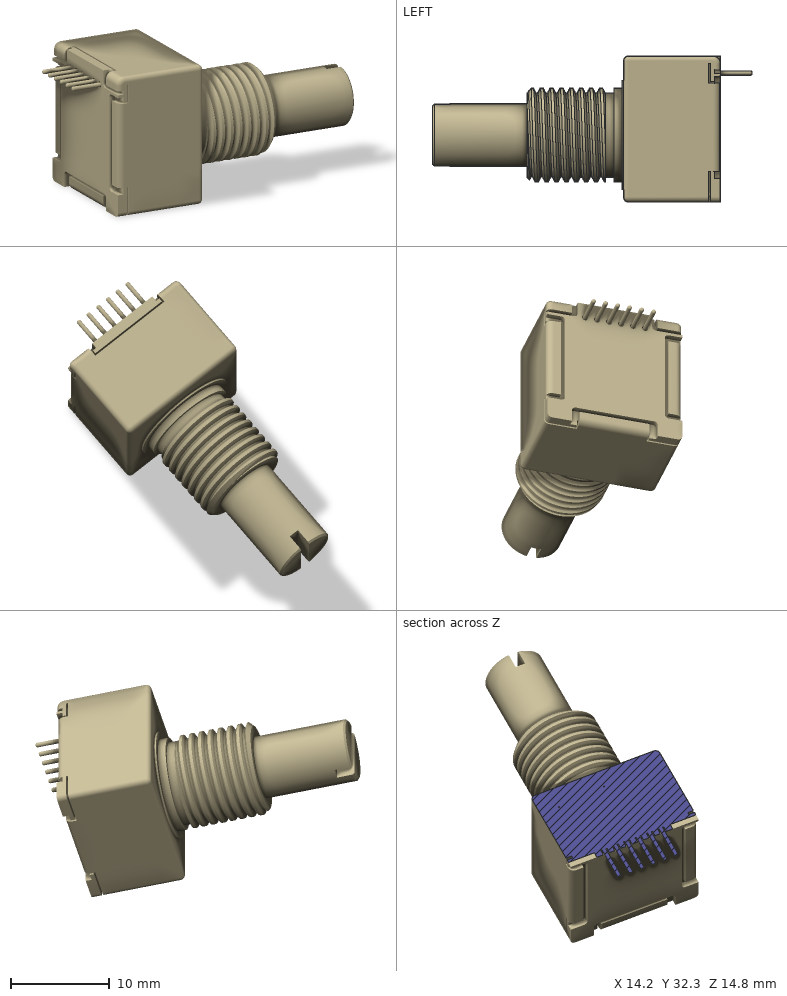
import cadquery as cq


CASE_WIDTH = 14.25
CASE_HEIGHT = 14.76
CASE_TOP = 7.99
CASE_BOTTOM = CASE_TOP - CASE_HEIGHT
CASE_DEPTH = 9.8
CASE_FILLET = 0.5
HALF_WIDTH = CASE_WIDTH / 2

SHEET = 0.62
COVER_LENGTH = 8.58
SEAM = 0.2
POCKET_DEPTH = SHEET
POCKET_CORNER = 0.4
TAB_RECESS = 0.08
TAB_BEND = 0.65
TAB_GAP = 0.17

SIDE_TAB_TOP = 5.25
SIDE_TAB_BOTTOM = -3.7
SIDE_TAB_REACH = 1.45
SIDE_POCKET_TOP = 5.92
SIDE_POCKET_BOTTOM = -4.37
SIDE_POCKET_REACH = 1.85
BOTTOM_TAB_HALF = 3.68
BOTTOM_TAB_REACH = 1.35
BOTTOM_POCKET_HALF = 4.54
BOTTOM_POCKET_REACH = 1.72
TOP_TAB_INNER_X = 4.52
TOP_TAB_REACH = 1.39
TOP_POCKET_INNER_X = 3.93
TOP_POCKET_REACH = 1.76
TOP_TAB_BEND = 0.78

FLANGE_RADIUS = 5.52
FLANGE_THICKNESS = 0.18
COLLAR_RADIUS = 4.75
COLLAR_END = 0.98
BUSHING_END = 9.75
THREAD_RADIUS = 4.75
THREAD_ROOT_RADIUS = 4.27
THREAD_PITCH = 1.0
THREAD_START = 1.03
THREAD_RUNOUT = 1.85
THREAD_CREST_WIDTH = 0.3
THREAD_ROOT_WIDTH = 0.8
THREAD_OVERLAP = 0.1
BUSHING_CHAMFER = 0.55

SHAFT_RADIUS = 6.35 / 2
SHAFT_END = 19.33
SHAFT_CHAMFER = 0.2
SLOT_WIDTH = 1.05
SLOT_DEPTH = 1.8

PIN_COUNT = 6
PIN_PITCH = 1.27
PIN_RADIUS = 0.23
PIN_HOLE_RADIUS = 0.31
PIN_HOLE_DEPTH = SHEET
PIN_Z = 6.27
PIN_LENGTH = 3.2
PIN_TIP_FILLET = 0.18


def block(x_range, y_range, z_range):
    """Box between two limits along each axis."""
    sizes = [abs(r[1] - r[0]) for r in (x_range, y_range, z_range)]
    centre = tuple((r[0] + r[1]) / 2 for r in (x_range, y_range, z_range))
    return cq.Workplane("XY").box(*sizes).translate(centre)


def rod(radius, y_start, y_end):
    """Cylinder on the shaft axis."""
    return cq.Workplane("XZ", origin=(0, y_start, 0)).circle(radius).extrude(y_start - y_end)


def mirrored(shape):
    """The shape together with its mirror image across X = 0."""
    return shape.union(shape.mirror("YZ"))


def case_block():
    """Full case with rounded long edges and a rounded mounting face."""
    case = block((-HALF_WIDTH, HALF_WIDTH), (-CASE_DEPTH, 0), (CASE_BOTTOM, CASE_TOP))
    return case.edges("|Y").fillet(CASE_FILLET).faces(">Y").edges().fillet(CASE_FILLET)


def seam_groove():
    """Groove around the case between the cover edge and the base."""
    y_range = (-COVER_LENGTH - SEAM, -COVER_LENGTH)
    ring = block((-HALF_WIDTH, HALF_WIDTH), y_range, (CASE_BOTTOM, CASE_TOP))
    inner_x = HALF_WIDTH - SHEET
    inner_z = (CASE_BOTTOM + SHEET, CASE_TOP - SHEET)
    return ring.cut(block((-inner_x, inner_x), y_range, inner_z))


def pocket(x_range, z_range, inner_edges):
    """Tab pocket in the back face with its inner corners rounded."""
    y_range = (-CASE_DEPTH, -CASE_DEPTH + POCKET_DEPTH)
    return block(x_range, y_range, z_range).edges(inner_edges).fillet(POCKET_CORNER)


def pockets():
    """Pockets for the side, top corner and bottom tabs."""
    side = pocket(
        (-HALF_WIDTH, -HALF_WIDTH + SIDE_POCKET_REACH),
        (SIDE_POCKET_BOTTOM, SIDE_POCKET_TOP),
        "|Y and >X",
    )
    top = pocket(
        (-HALF_WIDTH, -TOP_POCKET_INNER_X),
        (CASE_TOP - TOP_POCKET_REACH, CASE_TOP),
        "(|Y and >X) and <Z",
    )
    bottom = pocket(
        (-BOTTOM_POCKET_HALF, BOTTOM_POCKET_HALF),
        (CASE_BOTTOM, CASE_BOTTOM + BOTTOM_POCKET_REACH),
        "|Y and >Z",
    )
    return mirrored(side.union(top)).union(bottom)


def tab_openings():
    """Base material cleared outside the tab bends, with a gap beside the tab ends."""
    y_range = (-CASE_DEPTH, -COVER_LENGTH)
    side = block(
        (-HALF_WIDTH, -HALF_WIDTH + SHEET),
        y_range,
        (SIDE_TAB_BOTTOM, SIDE_TAB_TOP + TAB_GAP),
    )
    top = block(
        (-HALF_WIDTH, -TOP_TAB_INNER_X + TAB_GAP),
        y_range,
        (CASE_TOP - SHEET - TAB_GAP, CASE_TOP),
    )
    bottom_half = BOTTOM_TAB_HALF + TAB_GAP
    bottom = block((-bottom_half, bottom_half), y_range, (CASE_BOTTOM, CASE_BOTTOM + SHEET))
    return mirrored(side.union(top)).union(bottom)


def top_tab():
    """Top corner tab: flush with the back face, rounded around its outer end."""
    z_range = (CASE_TOP - TOP_TAB_REACH, CASE_TOP)
    tab = block((-HALF_WIDTH, -TOP_TAB_INNER_X), (-CASE_DEPTH, -COVER_LENGTH), z_range)
    tab = tab.edges(">Z and <Y").fillet(TOP_TAB_BEND)
    tab = tab.faces("<X").edges(">Z or <Y or (not (|Y or |Z))").fillet(CASE_FILLET)
    seam = block(
        (-HALF_WIDTH, -HALF_WIDTH + SHEET),
        (-COVER_LENGTH - SEAM, -COVER_LENGTH),
        (z_range[0], CASE_TOP - TOP_TAB_BEND),
    )
    return tab.cut(seam)


def tabs():
    """Cover tabs folded over the base, each with a rounded bend."""
    y_range = (-CASE_DEPTH + TAB_RECESS, -COVER_LENGTH)
    side = block(
        (-HALF_WIDTH, -HALF_WIDTH + SIDE_TAB_REACH),
        y_range,
        (SIDE_TAB_BOTTOM, SIDE_TAB_TOP),
    )
    side = side.edges("<X and <Y").fillet(TAB_BEND)
    bottom = block(
        (-BOTTOM_TAB_HALF, BOTTOM_TAB_HALF),
        y_range,
        (CASE_BOTTOM, CASE_BOTTOM + BOTTOM_TAB_REACH),
    )
    bottom = bottom.edges("<Z and <Y").fillet(TAB_BEND)
    return mirrored(side.union(top_tab())).union(bottom)


def thread():
    """Right-handed trapezoidal ridge wound around the bushing core."""
    height = BUSHING_END + THREAD_PITCH - THREAD_START
    inner = THREAD_ROOT_RADIUS - THREAD_OVERLAP
    helix = cq.Wire.makeHelix(THREAD_PITCH, height, THREAD_ROOT_RADIUS)
    half_crest = THREAD_CREST_WIDTH / 2
    half_root = THREAD_ROOT_WIDTH / 2
    flank_slope = (half_root - half_crest) / (THREAD_RADIUS - THREAD_ROOT_RADIUS)
    half_inner = half_root + flank_slope * THREAD_OVERLAP
    profile = cq.Workplane("XZ").polyline([
        (inner, -half_inner),
        (THREAD_RADIUS, -half_crest),
        (THREAD_RADIUS, half_crest),
        (inner, half_inner),
    ]).close()
    ridge = profile.sweep(cq.Workplane(helix), isFrenet=True)
    ridge = ridge.rotate((0, 0, 0), (1, 0, 0), -90).rotate((0, 0, 0), (0, 1, 0), 180)
    return ridge.translate((0, THREAD_START, 0))


def bushing():
    """Threaded bushing with its collar and mounting flange."""
    core = rod(THREAD_ROOT_RADIUS, 0, BUSHING_END)
    envelope = rod(THREAD_RADIUS + THREAD_OVERLAP, THREAD_RUNOUT, BUSHING_END)
    envelope = envelope.faces(">Y").chamfer(BUSHING_CHAMFER)
    body = core.union(thread().intersect(envelope, clean=False), clean=False)
    collar = rod(COLLAR_RADIUS, 0, COLLAR_END)
    return body.union(collar).union(rod(FLANGE_RADIUS, 0, FLANGE_THICKNESS))


def shaft():
    """Round shaft with a screwdriver slot across its end."""
    body = rod(SHAFT_RADIUS, 0, SHAFT_END).faces(">Y").chamfer(SHAFT_CHAMFER)
    slot = block(
        (-SLOT_WIDTH / 2, SLOT_WIDTH / 2),
        (SHAFT_END - SLOT_DEPTH, SHAFT_END),
        (-SHAFT_RADIUS, SHAFT_RADIUS),
    )
    return body.cut(slot)


def pin_row(radius, length):
    """Row of cylinders along -Y, standing on the floors of the pin holes."""
    first_x = -PIN_PITCH * (PIN_COUNT - 1) / 2
    points = [(first_x + i * PIN_PITCH, PIN_Z) for i in range(PIN_COUNT)]
    plane = cq.Workplane("XZ", origin=(0, -CASE_DEPTH + PIN_HOLE_DEPTH, 0))
    return plane.pushPoints(points).circle(radius).extrude(length)


def pins():
    """Terminal pins with rounded tips."""
    row = pin_row(PIN_RADIUS, PIN_HOLE_DEPTH + PIN_LENGTH)
    return row.faces("<Y").edges().fillet(PIN_TIP_FILLET)


def case():
    """Case with the folded cover tabs, the base pockets and the pin holes."""
    body = case_block().cut(seam_groove()).cut(pockets()).cut(tab_openings()).union(tabs())
    return body.cut(pin_row(PIN_HOLE_RADIUS, PIN_HOLE_DEPTH))


result = case().union(bushing()).union(shaft()).union(pins())